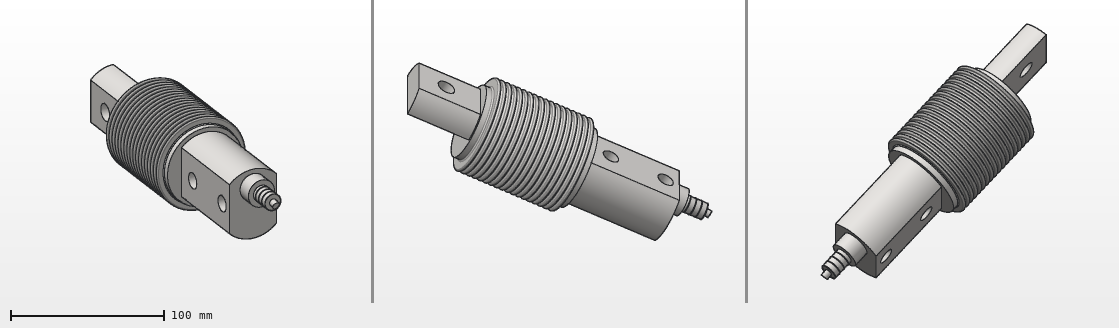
import cadquery as cq
import math

TOTAL_LENGTH = 222.3
TONGUE_LENGTH = 45.0
BELLOWS_START = 50.0
REAR_COLLAR_END = 125.0
BODY_END = 190.0
GLAND_END = 201.4
SLEEVE_END = 217.2

BELLOWS_RADIUS = 66.0 / 2
FOLD_COUNT = 18
FOLD_PITCH = 4.0
FOLD_DEPTH = 2.7
BEND_RADIUS = FOLD_PITCH / 4
FOLD_WIDTH = 2 * BEND_RADIUS
BELLOWS_END = BELLOWS_START + (FOLD_COUNT - 1) * FOLD_PITCH + FOLD_WIDTH

FRONT_COLLAR_RADIUS = 25.5
REAR_COLLAR_RADIUS = 28.0
FRONT_WELD_RADIUS = 1.0
REAR_WELD_SIZE = 0.7

TONGUE_RADIUS = 22.7
TONGUE_THICKNESS = 17.0
BODY_RADIUS = 25.0
BODY_THICKNESS = 35.1

TONGUE_HOLE_X = 20.0
TONGUE_HOLE_DIAMETER = 12.0
BODY_HOLE_POSITIONS = (140.0, 180.0)
BODY_HOLE_DIAMETER = 11.1

GLAND_HEIGHT = 12.0
GLAND_RADIUS = 19.3 / 2
SLEEVE_RADIUS = 11.8 / 2
SLEEVE_WAIST_RADIUS = 11.3 / 2
RING_RADIUS = 12.0 / 2
RING_COUNT = 3
RING_WIDTH = 0.5
FIRST_RING_X = GLAND_END + 2.7
END_RIM_X = SLEEVE_END - RING_WIDTH
RING_PITCH = (END_RIM_X - FIRST_RING_X) / RING_COUNT
CABLE_RADIUS = 5.1 / 2
CABLE_BEND_ANGLE = 20.0

ARC_INSET = 1 - math.sqrt(0.5)


def x_cylinder(start, end, radius):
    """Cylinder on the X axis between two stations."""
    return cq.Workplane("YZ", origin=(start, 0, 0)).circle(radius).extrude(end - start)


def flat_bar(start, end, radius, y_low, y_high):
    """Round bar on the X axis, trimmed to the band between two Y values."""
    band = (
        cq.Workplane("XY", origin=(start, y_low, 0))
        .box(end - start, y_high - y_low, 2 * radius, centered=(False, False, True))
    )
    return x_cylinder(start, end, radius).intersect(band)


def revolve_about_x(profile):
    """Close an (x, radius) profile and turn it about its local X axis."""
    return profile.close().revolve(360, (0, 0, 0), (1, 0, 0))


def add_bend(profile, start_x, edge_radius, height):
    """Half-round bend made of two quarter arcs: positive height is a crest, negative a root."""
    middle_x = start_x + BEND_RADIUS
    end_x = start_x + FOLD_WIDTH
    inset = BEND_RADIUS * ARC_INSET
    peak_radius = edge_radius + height
    shoulder_radius = peak_radius - height * ARC_INSET
    return (
        profile.threePointArc((start_x + inset, shoulder_radius), (middle_x, peak_radius))
        .threePointArc((end_x - inset, shoulder_radius), (end_x, edge_radius))
    )


def make_bellows():
    """Front collar, bellows folds and rear collar, revolved as one profile."""
    crest_edge = BELLOWS_RADIUS - BEND_RADIUS
    root_edge = BELLOWS_RADIUS - FOLD_DEPTH + BEND_RADIUS
    weld_inset = FRONT_WELD_RADIUS * ARC_INSET

    profile = (
        cq.Workplane("XY")
        .moveTo(TONGUE_LENGTH, 0)
        .lineTo(TONGUE_LENGTH, FRONT_COLLAR_RADIUS)
        .lineTo(BELLOWS_START - FRONT_WELD_RADIUS, FRONT_COLLAR_RADIUS)
        .threePointArc(
            (BELLOWS_START - weld_inset, FRONT_COLLAR_RADIUS + weld_inset),
            (BELLOWS_START, FRONT_COLLAR_RADIUS + FRONT_WELD_RADIUS),
        )
        .lineTo(BELLOWS_START, crest_edge)
    )
    for fold in range(FOLD_COUNT):
        crest_x = BELLOWS_START + fold * FOLD_PITCH
        if fold > 0:
            root_x = crest_x - FOLD_WIDTH
            profile = profile.lineTo(root_x, root_edge)
            profile = add_bend(profile, root_x, root_edge, -BEND_RADIUS)
            profile = profile.lineTo(crest_x, crest_edge)
        profile = add_bend(profile, crest_x, crest_edge, BEND_RADIUS)
    profile = (
        profile.lineTo(BELLOWS_END, REAR_COLLAR_RADIUS + REAR_WELD_SIZE)
        .lineTo(BELLOWS_END + REAR_WELD_SIZE, REAR_COLLAR_RADIUS)
        .lineTo(REAR_COLLAR_END, REAR_COLLAR_RADIUS)
        .lineTo(REAR_COLLAR_END, 0)
    )
    return revolve_about_x(profile)


def make_gland():
    """Gland and its sleeve: narrow rings with slightly tapered stretches between them."""
    profile = (
        cq.Workplane("XY", origin=(0, 0, GLAND_HEIGHT))
        .moveTo(BODY_END, 0)
        .lineTo(BODY_END, GLAND_RADIUS)
        .lineTo(GLAND_END, GLAND_RADIUS)
        .lineTo(GLAND_END, SLEEVE_RADIUS)
        .lineTo(FIRST_RING_X, SLEEVE_RADIUS)
    )
    for ring in range(RING_COUNT):
        ring_x = FIRST_RING_X + ring * RING_PITCH
        ring_end = ring_x + RING_WIDTH
        profile = (
            profile.lineTo(ring_x, RING_RADIUS)
            .lineTo(ring_end, RING_RADIUS)
            .lineTo(ring_end, SLEEVE_RADIUS)
            .lineTo(ring_x + RING_PITCH, SLEEVE_WAIST_RADIUS)
        )
    profile = (
        profile.lineTo(END_RIM_X, SLEEVE_RADIUS)
        .lineTo(SLEEVE_END, SLEEVE_RADIUS)
        .lineTo(SLEEVE_END, 0)
    )
    return revolve_about_x(profile)


def make_cable():
    """Cable stub bending downward, with its upper tip at the total length."""
    reach = TOTAL_LENGTH - SLEEVE_END
    bend_radius = reach / math.sin(math.radians(CABLE_BEND_ANGLE)) - CABLE_RADIUS
    return (
        cq.Workplane("YZ", origin=(SLEEVE_END, 0, GLAND_HEIGHT))
        .circle(CABLE_RADIUS)
        .revolve(CABLE_BEND_ANGLE, (0, -bend_radius, 0), (1, -bend_radius, 0))
    )


def cross_hole(x, diameter):
    """Cutter along Y, long enough to pass through either flat bar."""
    return (
        cq.Workplane("XZ", origin=(x, 0, 0))
        .circle(diameter / 2)
        .extrude(BODY_THICKNESS, both=True)
    )


tongue = flat_bar(0, BELLOWS_START, TONGUE_RADIUS, -TONGUE_THICKNESS, 0)
body = flat_bar(BELLOWS_END, BODY_END, BODY_RADIUS, -BODY_THICKNESS / 2, BODY_THICKNESS / 2)

result = make_bellows().union(tongue).union(body).union(make_gland()).union(make_cable())
result = result.cut(cross_hole(TONGUE_HOLE_X, TONGUE_HOLE_DIAMETER))
for hole_x in BODY_HOLE_POSITIONS:
    result = result.cut(cross_hole(hole_x, BODY_HOLE_DIAMETER))